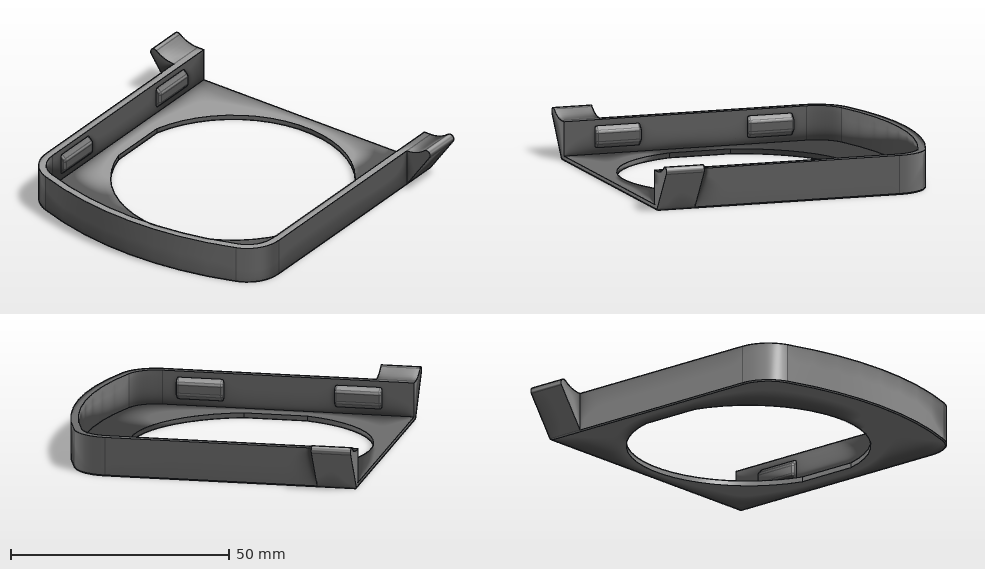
import cadquery as cq
import math

half_width = 33.0
length = 72.0
back_y = 31.5
front_y = back_y - length
front_radius = 80.0
corner_radius = 9.0

wall_height = 9.17
wall_thickness = 1.75
floor_thickness = 1.17
bottom_chamfer = 0.3

opening_diameter = 56.0
opening_width = 54.0

wing_length = 9.2
wing_half_span = 39.62
wing_tip_radius = 1.0
wing_top = 11.17

pad_length = 11.0
pad_height = 5.1
pad_depth = 1.2
pad_middle_z = (floor_thickness + wall_height) / 2
pad_face_fillet = 1.0
pad_end_fillet = 0.5
pad_back_offsets = (13.0, 50.0)


def tray_prism(inset, base_z, height):
    """Prism of the tray outline moved inwards by inset, its back edge staying at the open back."""
    side = half_width - inset
    bow = front_radius - inset
    corner = corner_radius - inset
    bow_y = front_y + front_radius
    corner_x = half_width - corner_radius
    corner_y = bow_y - math.sqrt((front_radius - corner_radius) ** 2 - corner_x**2)
    join_angle = math.atan2(bow_y - corner_y, corner_x)
    join_x = bow * math.cos(join_angle)
    join_y = bow_y - bow * math.sin(join_angle)
    middle_x = corner_x + corner * math.cos(join_angle / 2)
    middle_y = corner_y - corner * math.sin(join_angle / 2)
    return (
        cq.Workplane("XY", origin=(0, 0, base_z))
        .moveTo(-side, back_y)
        .lineTo(-side, corner_y)
        .threePointArc((-middle_x, middle_y), (-join_x, join_y))
        .threePointArc((0, bow_y - bow), (join_x, join_y))
        .threePointArc((middle_x, middle_y), (side, corner_y))
        .lineTo(side, back_y)
        .close()
        .extrude(height)
    )


def tray():
    body = tray_prism(0, 0, wall_height).faces("<Z").chamfer(bottom_chamfer)
    return body.cut(tray_prism(wall_thickness, floor_thickness, wall_height))


def floor_opening():
    circle = cq.Workplane("XY").circle(opening_diameter / 2).extrude(floor_thickness)
    flats = cq.Workplane("XY").rect(opening_width, opening_diameter).extrude(floor_thickness)
    return circle.intersect(flats)


def wing():
    """Right wing: concave top tangent to the wall top, round tip, straight sloping underside."""
    root_x = half_width - wall_thickness / 2
    tip_x = wing_half_span - wing_tip_radius
    tip_z = wing_top - wing_tip_radius
    reach = tip_x - half_width
    rise = tip_z - wall_height
    top_radius = (reach**2 + rise**2 - wing_tip_radius**2) / (2 * (rise + wing_tip_radius))
    top_centre_z = wall_height + top_radius
    sweep = math.asin(reach / (top_radius + wing_tip_radius))
    top_end = (half_width + top_radius * math.sin(sweep), top_centre_z - top_radius * math.cos(sweep))
    top_middle = (
        half_width + top_radius * math.sin(sweep / 2),
        top_centre_z - top_radius * math.cos(sweep / 2),
    )
    foot_z = bottom_chamfer
    foot_distance = math.hypot(reach, tip_z - foot_z)
    slope = math.atan2(tip_z - foot_z, reach) - math.asin(wing_tip_radius / foot_distance)
    under_end = (tip_x + wing_tip_radius * math.sin(slope), tip_z - wing_tip_radius * math.cos(slope))
    tip_angle = (slope + sweep) / 2
    tip_middle = (
        tip_x + wing_tip_radius * math.cos(tip_angle),
        tip_z + wing_tip_radius * math.sin(tip_angle),
    )
    return (
        cq.Workplane("XZ", origin=(0, back_y, 0))
        .moveTo(root_x, foot_z)
        .lineTo(root_x, wall_height)
        .lineTo(half_width, wall_height)
        .threePointArc(top_middle, top_end)
        .threePointArc(tip_middle, under_end)
        .lineTo(half_width, foot_z)
        .close()
        .extrude(wing_length)
    )


def pad(back_offset):
    """Right pad centred back_offset in front of the open back: 45-degree slopes, all free edges rounded."""
    wall_x = half_width - wall_thickness
    face_x = wall_x - pad_depth
    root_depth = wall_thickness / 2
    root_x = wall_x + root_depth
    face_half_height = pad_height / 2 - pad_depth
    root_half_height = pad_height / 2 + root_depth
    return (
        cq.Workplane("XZ", origin=(0, back_y - back_offset + pad_length / 2, 0))
        .moveTo(root_x, pad_middle_z - root_half_height)
        .lineTo(face_x, pad_middle_z - face_half_height)
        .lineTo(face_x, pad_middle_z + face_half_height)
        .lineTo(root_x, pad_middle_z + root_half_height)
        .close()
        .extrude(pad_length)
        .edges("<X and |Y")
        .fillet(pad_face_fillet)
        .faces("<Y or >Y")
        .edges("not(>X)")
        .fillet(pad_end_fillet)
    )


def with_both_sides(body, feature):
    return body.union(feature).union(feature.mirror("YZ"))


result = tray().cut(floor_opening())
result = with_both_sides(result, wing())
for offset in pad_back_offsets:
    result = with_both_sides(result, pad(offset))